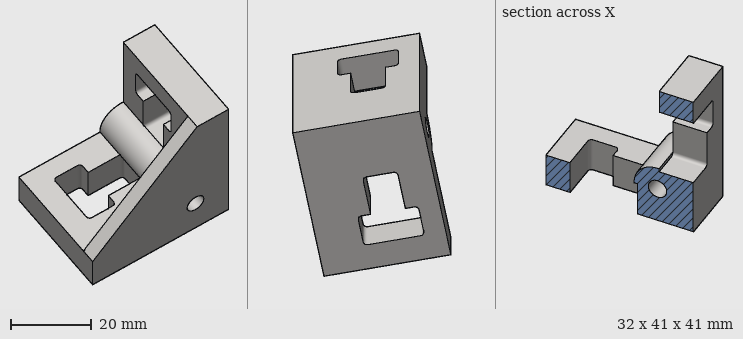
import cadquery as cq
import math

size = 41.0
width = 32.0
wall = 9.5
web_thickness = 4.0
web_start = width - web_thickness

barrel_offset = 10.0
barrel_radius = 6.55
barrel_reach = barrel_offset + barrel_radius
bore_diameter = 5.0

slot_center = 13.0
head_width = 15.25
head_bottom = 26.1
head_top = 34.3
corner_radius = 1.0
stem_width = 8.75
stem_bottom = 15.62


def extrude_along_x(outline, start, length):
    """Extrude an outline whose coordinates are (Y, Z) from X = start."""
    return outline.extrude(length).translate((start, 0, 0))


def side_plane():
    return cq.Workplane("YZ")


def slot_cutter():
    """T-shaped prism through a leg that lies on the XY plane, stem pointing to the origin."""
    head_height = head_top - head_bottom
    head = (
        cq.Workplane("XY")
        .center(slot_center, (head_bottom + head_top) / 2)
        .rect(head_width, head_height)
        .extrude(wall)
        .edges("|Z")
        .fillet(corner_radius)
    )
    stem_top = (head_bottom + head_top) / 2
    stem = (
        cq.Workplane("XY")
        .center(slot_center, (stem_bottom + stem_top) / 2)
        .rect(stem_width, stem_top - stem_bottom)
        .extrude(wall)
        .edges("|Z and <Y")
        .fillet(corner_radius)
    )
    return head.union(stem)


barrel_foot = barrel_offset + math.sqrt(barrel_radius**2 - (barrel_offset - wall) ** 2)
barrel_arc_offset = barrel_offset + barrel_radius * math.sqrt(0.5)
legs = extrude_along_x(
    side_plane()
    .moveTo(0, 0)
    .lineTo(-size, 0)
    .lineTo(-size, wall)
    .lineTo(-barrel_foot, wall)
    .threePointArc((-barrel_arc_offset, barrel_arc_offset), (-barrel_offset, barrel_reach))
    .lineTo(-wall, barrel_reach)
    .lineTo(-wall, size)
    .lineTo(0, size)
    .close(),
    0,
    width,
)
web = extrude_along_x(
    side_plane().polyline([(-wall, wall), (-size, wall), (-wall, size)]).close(),
    web_start,
    web_thickness,
)
bore = extrude_along_x(
    side_plane().center(-barrel_offset, barrel_offset).circle(bore_diameter / 2), 0, width
)

flat_slot = slot_cutter().mirror("XZ")
upright_slot = slot_cutter().rotate((0, 0, 0), (1, 0, 0), 90)

result = legs.union(web).cut(bore).cut(flat_slot).cut(upright_slot)